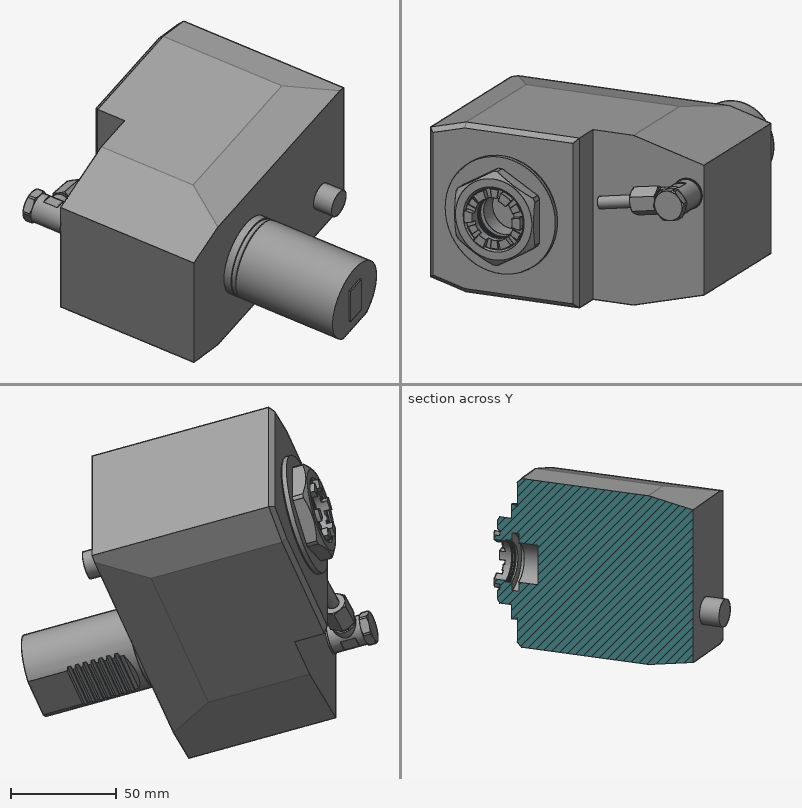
import cadquery as cq
import math


body_height = 84.0
body_left = 88.8
body_right = -47.2
body_front = -73.8
block_front = -91.0
block_right = 10.8
left_bevel_width = 18.7
right_bevel_width = 36.9
side_bevel_angle = 15
rear_bevel_length = 23.0
rear_bevel_angle = 10
block_chamfer = 2.3

shank_diameter = 40.0
shank_length = 60.2
seal_groove_diameter = 38.7
seal_ring_diameter = 39.8
seal_groove_start = 4.0
seal_groove_width = 2.6
flat_depth = 16.9
flat_start = 12.1
notch_count = 7
notch_pitch = 4.0
first_notch = 15.4
notch_depth = 1.0
notch_floor_width = 1.5
notch_mouth_width = 2.8
end_pad_thickness = 0.8
end_pad_width = 9.8
end_pad_height = 19.7

pin_diameter = 13.5
pin_length = 10.0
pin_y = 67.9
pin_z = -16.2

spindle_y = (body_left + block_right) / 2
flange_diameter = 57.7
flange_neck_diameter = 56.4
flange_front = -93.9
flange_back = -91.5
nut_front = -101.1
nut_across_flats = 41.3
nut_corner_diameter = 46.5
nut_face_diameter = 40.0
nut_chamfer_length = 2.0
nut_bore_diameter = 30.3
nut_bore_chamfer = 0.8
sleeve_diameter = 29.5
sleeve_bore_diameter = 21.0
sleeve_bore_floor = -80.3
sleeve_cavity_diameter = 29.5
sleeve_cavity_front = -93.5
sleeve_cavity_back = -90.1
sleeve_groove_diameter = 22.3
sleeve_groove_width = 0.7
sleeve_groove_starts = (-96.7, -95.2)
sleeve_slot_floor = -100.0
tooth_front = -103.0
land_front = -100.6
tooth_count = 6
tooth_half_angle = 12
land_half_angle = 8

elbow_y = -38.8
elbow_z = 17.0
elbow_tilt = 10
barrel_diameter = 14.5
barrel_collar_diameter = 15.0
barrel_collar_length = 0.8
barrel_head_back = -91.0
head_front = -95.4
head_across_flats = 14.5
head_corner_diameter = 16.0
head_face_diameter = 14.5
head_chamfer_length = 0.5
wrench_flat_length = 7.5
wrench_flat_width = 6.0
jet_x = -83.5
jet_stub_diameter = 12.0
jet_stub_end = 8.2
jet_neck_diameter = 10.0
jet_nut_start = 9.7
jet_nut_end = 23.3
jet_nut_across_flats = 12.0
jet_nut_corner_diameter = 14.1
jet_nut_face_diameter = 12.0
jet_nut_chamfer_length = 0.5
jet_tube_diameter = 6.0
jet_tube_end = 42.0


def tan_deg(angle):
    return math.tan(math.radians(angle))


def rod(start, end, diameter, y=0, z=0):
    """Cylinder along X."""
    return cq.Workplane("YZ", origin=(start, y, z)).circle(diameter / 2).extrude(end - start)


def hexagon(start, end, across_flats, turn):
    """Hexagonal prism along X on the X axis; turn=0 puts a corner on +Y."""
    corner_diameter = across_flats / math.cos(math.radians(30))
    prism = cq.Workplane("YZ", origin=(start, 0, 0)).polygon(6, corner_diameter).extrude(end - start)
    return prism.rotate((0, 0, 0), (1, 0, 0), turn)


def turned(points):
    """Solid of revolution about the X axis from (x, radius) points."""
    return cq.Workplane("XY").polyline(points).close().revolve(360, (0, 0, 0), (1, 0, 0))


def sector(start, end, diameter, angle, half_angle):
    """Wedge along X from the X axis out to the diameter, centred on an angle from +Y to +Z."""
    radius = diameter / 2
    first = math.radians(angle - half_angle)
    middle = math.radians(angle)
    last = math.radians(angle + half_angle)
    return (
        cq.Workplane("YZ", origin=(start, 0, 0))
        .lineTo(radius * math.cos(first), radius * math.sin(first))
        .threePointArc(
            (radius * math.cos(middle), radius * math.sin(middle)),
            (radius * math.cos(last), radius * math.sin(last)),
        )
        .close()
        .extrude(end - start)
    )


def make_body():
    half = body_height / 2
    left_corner = half - left_bevel_width * tan_deg(side_bevel_angle)
    right_corner = half - right_bevel_width * tan_deg(side_bevel_angle)
    left_edge = body_left - left_bevel_width
    right_edge = body_right + right_bevel_width
    left_outline = [(left_edge, half), (body_left, left_corner), (body_left, -left_corner), (left_edge, -half)]
    right_outline = [
        (right_edge, -half),
        (body_right, -right_corner),
        (body_right, right_corner),
        (right_edge, half),
    ]
    block_side = [(block_right, -half), (block_right, half)]
    main = (
        cq.Workplane("YZ", origin=(body_front, 0, 0))
        .polyline(left_outline + right_outline)
        .close()
        .extrude(-body_front)
    )
    block = (
        cq.Workplane("YZ", origin=(block_front, 0, 0))
        .polyline(left_outline + block_side)
        .close()
        .extrude(-rear_bevel_length - block_front)
        .faces("<X")
        .chamfer(block_chamfer)
    )
    rear_drop = rear_bevel_length * tan_deg(rear_bevel_angle)
    rear_wedge = (
        cq.Workplane("XZ", origin=(0, body_left, 0))
        .polyline([(-rear_bevel_length, half), (0, half), (0, half - rear_drop)])
        .close()
        .extrude(body_left - body_right)
    )
    return main.union(block).cut(rear_wedge).cut(rear_wedge.mirror("XY"))


def make_shank():
    radius = shank_diameter / 2
    shank = rod(0, shank_length, shank_diameter)
    seal_floor = seal_groove_diameter / 2
    seal_groove_end = seal_groove_start + seal_groove_width
    seal_middle = seal_groove_start + seal_groove_width / 2
    seal_gap = (
        cq.Workplane("XY")
        .moveTo(seal_groove_start, radius)
        .lineTo(seal_groove_start, seal_floor)
        .threePointArc((seal_middle, seal_ring_diameter / 2), (seal_groove_end, seal_floor))
        .lineTo(seal_groove_end, radius)
        .close()
        .revolve(360, (0, 0, 0), (1, 0, 0))
    )
    flat_run_in = radius - flat_depth
    flat_outline = [
        (flat_start, -flat_depth),
        (shank_length, -flat_depth),
        (shank_length, -radius),
        (flat_start - flat_run_in, -radius),
    ]
    flat = cq.Workplane("XZ").polyline(flat_outline).close().extrude(radius, both=True)
    shank = shank.cut(seal_gap).cut(flat)
    for index in range(notch_count):
        middle = first_notch + index * notch_pitch
        notch_outline = [
            (middle - notch_mouth_width / 2, -flat_depth),
            (middle - notch_floor_width / 2, notch_depth - flat_depth),
            (middle + notch_floor_width / 2, notch_depth - flat_depth),
            (middle + notch_mouth_width / 2, -flat_depth),
        ]
        shank = shank.cut(cq.Workplane("XZ").polyline(notch_outline).close().extrude(radius, both=True))
    end_pad = cq.Workplane("YZ", origin=(shank_length, 0, 0)).rect(end_pad_width, end_pad_height)
    return shank.union(end_pad.extrude(end_pad_thickness))


def make_spindle_nose():
    face_radius = nut_face_diameter / 2
    corner_radius = nut_corner_diameter / 2
    nut_envelope = turned([
        (nut_front, 0),
        (nut_front, face_radius),
        (nut_front + nut_chamfer_length, corner_radius),
        (flange_front, corner_radius),
        (flange_front, 0),
    ])
    nut = hexagon(nut_front, flange_front, nut_across_flats, 30).intersect(nut_envelope)
    bore_radius = nut_bore_diameter / 2
    nut_bore = turned([
        (nut_front, 0),
        (nut_front, bore_radius + nut_bore_chamfer),
        (nut_front + nut_bore_chamfer, bore_radius),
        (sleeve_slot_floor, bore_radius),
        (sleeve_slot_floor, 0),
    ])
    nose = (
        rod(flange_front, flange_back, flange_diameter)
        .union(rod(flange_back, block_front, flange_neck_diameter))
        .union(nut)
        .cut(nut_bore)
    )
    pitch_angle = 360 / tooth_count
    for index in range(tooth_count):
        tooth_angle = index * pitch_angle
        land_angle = tooth_angle + pitch_angle / 2
        nose = nose.union(sector(tooth_front, sleeve_slot_floor, sleeve_diameter, tooth_angle, tooth_half_angle))
        nose = nose.union(sector(land_front, sleeve_slot_floor, sleeve_diameter, land_angle, land_half_angle))
    return nose.translate((0, spindle_y, 0))


def make_spindle_bore():
    bore = rod(tooth_front, sleeve_bore_floor, sleeve_bore_diameter, spindle_y)
    cavity = rod(sleeve_cavity_front, sleeve_cavity_back, sleeve_cavity_diameter, spindle_y)
    bore = bore.union(cavity)
    for start in sleeve_groove_starts:
        bore = bore.union(rod(start, start + sleeve_groove_width, sleeve_groove_diameter, spindle_y))
    return bore


def make_jet():
    """Nozzle along +X from the elbow axis at the origin."""
    face_radius = jet_nut_face_diameter / 2
    corner_radius = jet_nut_corner_diameter / 2
    nut_envelope = turned([
        (jet_nut_start, 0),
        (jet_nut_start, face_radius),
        (jet_nut_start + jet_nut_chamfer_length, corner_radius),
        (jet_nut_end - jet_nut_chamfer_length, corner_radius),
        (jet_nut_end, face_radius),
        (jet_nut_end, 0),
    ])
    nut = hexagon(jet_nut_start, jet_nut_end, jet_nut_across_flats, 30).intersect(nut_envelope)
    return (
        rod(0, jet_stub_end, jet_stub_diameter)
        .union(rod(jet_stub_end, jet_nut_start, jet_neck_diameter))
        .union(nut)
        .union(rod(jet_nut_end, jet_tube_end, jet_tube_diameter))
    )


def make_elbow():
    barrel_radius = barrel_diameter / 2
    barrel = rod(barrel_head_back, body_front, barrel_diameter)
    collar = rod(body_front - barrel_collar_length, body_front, barrel_collar_diameter)
    corner_radius = head_corner_diameter / 2
    head_envelope = turned([
        (head_front, 0),
        (head_front, head_face_diameter / 2),
        (head_front + head_chamfer_length, corner_radius),
        (barrel_head_back - head_chamfer_length, corner_radius),
        (barrel_head_back, head_face_diameter / 2),
        (barrel_head_back, 0),
    ])
    head = hexagon(head_front, barrel_head_back, head_across_flats, 0).intersect(head_envelope)
    flat_height = math.sqrt(barrel_radius**2 - (wrench_flat_width / 2) ** 2)
    for side in (1, -1):
        flat_cutter = cq.Workplane("XY").box(wrench_flat_length, barrel_diameter, barrel_radius)
        barrel = barrel.cut(flat_cutter.translate((jet_x, 0, side * (flat_height + barrel_radius / 2))))
    jet = make_jet().rotate((0, 0, 0), (0, 0, 1), 90).translate((jet_x, 0, 0))
    elbow = barrel.union(collar).union(head).union(jet)
    return elbow.rotate((0, 0, 0), (1, 0, 0), -elbow_tilt).translate((0, elbow_y, elbow_z))


result = (
    make_body()
    .union(make_shank())
    .union(rod(0, pin_length, pin_diameter, pin_y, pin_z))
    .union(make_spindle_nose())
    .cut(make_spindle_bore())
    .union(make_elbow())
)